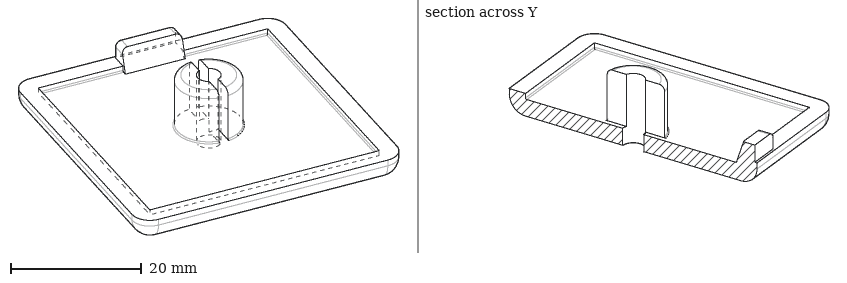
import cadquery as cq
import math

side = 45
plate_height = 4.0
corner_radius = 3.0
bottom_fillet = 2.95

rim_width = 3.0
recess_depth = 1.0
recess_side = side - 2 * rim_width
floor_z = plate_height - recess_depth
root_fillet = 0.22

total_height = 12.0
post_diameter = 10.55
post_top_fillet = 1.0
bore_diameter = 3.8
slot_width = 1.55

catch_length = 10.15
catch_height = 2.95
catch_setback = 0.4
catch_top_width = 2.1
catch_slope_run = 1.0
catch_end_fillet = 1.0


def make_plate():
    """Square plate with rounded underside and a recess in the top."""
    plate = (
        cq.Workplane("XY")
        .rect(side, side)
        .extrude(plate_height)
        .edges("|Z")
        .fillet(corner_radius)
        .faces("<Z")
        .edges()
        .fillet(bottom_fillet)
    )
    recess = (
        cq.Workplane("XY", origin=(0, 0, floor_z))
        .rect(recess_side, recess_side)
        .extrude(recess_depth)
        .faces("<Z")
        .edges()
        .fillet(root_fillet)
    )
    return plate.cut(recess)


def make_post():
    """Round post with a rounded top, a flared foot and a slot along X."""
    radius = post_diameter / 2
    foot_radius = radius + root_fillet
    foot_top = floor_z + root_fillet
    quarter_arc = math.sin(math.radians(45))
    root_z = floor_z / 2
    foot_mid = (
        foot_radius - root_fillet * quarter_arc,
        foot_top - root_fillet * quarter_arc,
    )
    shoulder_radius = radius - post_top_fillet
    shoulder_z = total_height - post_top_fillet
    shoulder_mid = (
        shoulder_radius + post_top_fillet * quarter_arc,
        shoulder_z + post_top_fillet * quarter_arc,
    )
    post = (
        cq.Workplane("XZ")
        .moveTo(0, root_z)
        .lineTo(foot_radius, root_z)
        .lineTo(foot_radius, floor_z)
        .threePointArc(foot_mid, (radius, foot_top))
        .lineTo(radius, shoulder_z)
        .threePointArc(shoulder_mid, (shoulder_radius, total_height))
        .lineTo(0, total_height)
        .close()
        .revolve(360, (0, 0), (0, 1))
    )
    slot = (
        cq.Workplane("XY", origin=(0, 0, floor_z))
        .rect(2 * foot_radius, slot_width)
        .extrude(total_height - floor_z)
    )
    return post.cut(slot)


def make_catch():
    """Upright catch whose inner face slopes down to the recess floor."""
    outer_x = -side / 2 + catch_setback
    top_x = outer_x + catch_top_width
    top_z = plate_height + catch_height
    foot_x = top_x + catch_slope_run * (top_z - floor_z) / catch_height
    return (
        cq.Workplane("XZ")
        .moveTo(outer_x, floor_z)
        .lineTo(outer_x, top_z)
        .lineTo(top_x, top_z)
        .lineTo(foot_x, floor_z)
        .close()
        .extrude(catch_length / 2, both=True)
        .faces(">Z")
        .edges("|X")
        .fillet(catch_end_fillet)
    )


bore = cq.Workplane("XY").circle(bore_diameter / 2).extrude(total_height)

result = make_plate().union(make_post()).union(make_catch()).cut(bore)